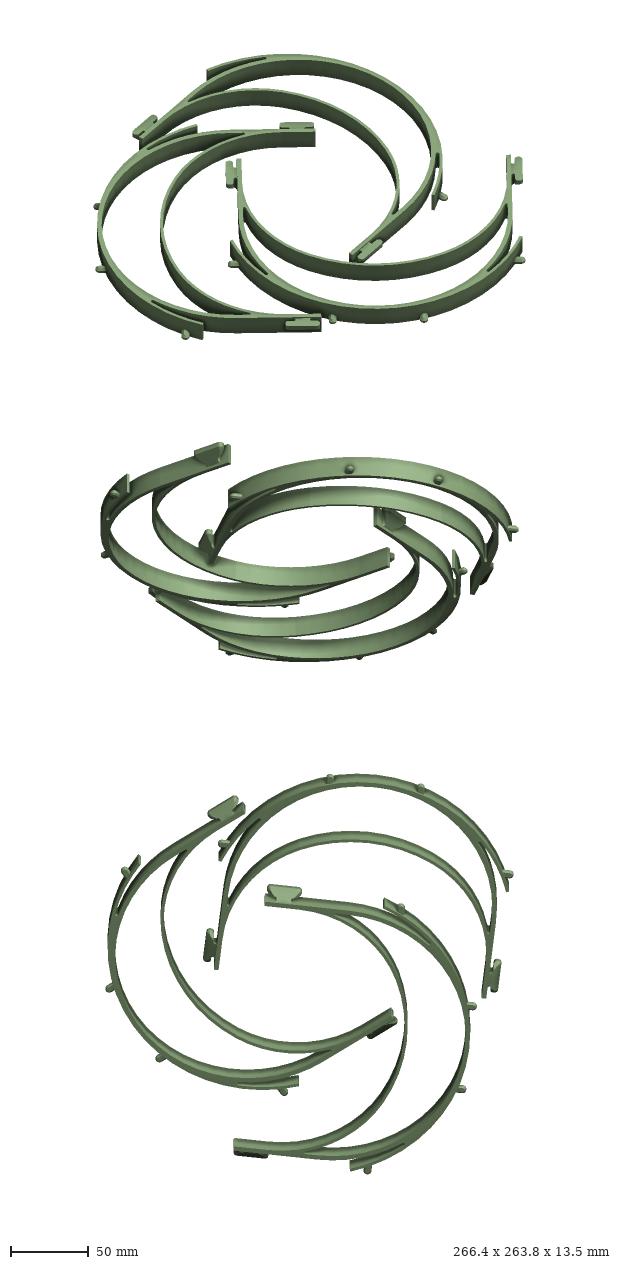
import cadquery as cq
import math

HEIGHT = 13.5

LEG_OUTER_R = 88.0
LEG_THICKNESS = 3.0
LEG_INNER_R = LEG_OUTER_R - LEG_THICKNESS
LEG_CENTRE_Y = 42.4
LEG_END_Y = -11.8

VISOR_OUTER_R = 100.0
VISOR_THICKNESS = 2.0
VISOR_INNER_R = VISOR_OUTER_R - VISOR_THICKNESS
VISOR_CENTRE_Y = LEG_CENTRE_Y + LEG_OUTER_R - VISOR_OUTER_R
VISOR_END_ANGLE = 20.0

STRAP_THICKNESS = 2.0
STRAP_FRONT_Y = 90.0
STRAP_SIDE_X = 9.5
STRAP_SIDE_Y = 10.3
STRAP_SIDE_R = LEG_INNER_R + STRAP_THICKNESS - STRAP_SIDE_X
STRAP_SIDE_DEPTH = STRAP_FRONT_Y - STRAP_SIDE_Y
STRAP_FRONT_R = (STRAP_SIDE_X**2 + STRAP_SIDE_DEPTH**2 - STRAP_SIDE_R**2) / (
    2 * (STRAP_SIDE_DEPTH - STRAP_SIDE_R)
)
STRAP_FRONT_CENTRE_Y = STRAP_FRONT_Y - STRAP_FRONT_R

STRAP_CROTCH_R = 0.9
VISOR_CROTCH_R = 1.15

PEG_WIDTH = 5.0
PEG_BOTTOM = 1.0
PEG_TOP = 5.0
PEG_BAR_LENGTH = 20.0
PEG_TRIM_R = VISOR_OUTER_R - VISOR_THICKNESS / 2
PEG_TOP_CHAMFER = 1.5
PEG_BOTTOM_CHAMFER = 1.0
SIDE_PEG_TIP_X = 95.5
SIDE_PEG_Y = 75.5
FRONT_PEG_X = 29.3
FRONT_PEG_TIP_Y = 131.92

CLIP_OUTER_X = 95.3
CLIP_INNER_X = 90.4
CLIP_REACH = CLIP_OUTER_X - LEG_OUTER_R
CLIP_LENGTH = 22.4
CLIP_CENTRE_Y = 0.2
CLIP_END_R = 2.2
CLIP_TOP = 12.5
CLIP_EDGE_Z = 9.2
CLIP_BOTTOM = CLIP_EDGE_Z - CLIP_REACH
NECK_LENGTH = 9.2
SLOT_END_R = (CLIP_INNER_X - LEG_OUTER_R) / 2

PLACEMENTS = [
    (-37.7, 0.0, 0.0),
    (10.95, 59.2, -140.0),
    (5.3, -9.65, 130.0),
]

SELECT_MARGIN = 0.2


def disc(radius, centre_y):
    return cq.Workplane("XY").center(0, centre_y).circle(radius).extrude(HEIGHT)


def leg_outline(radius):
    return (
        cq.Workplane("XY")
        .moveTo(-radius, LEG_END_Y)
        .lineTo(-radius, LEG_CENTRE_Y)
        .threePointArc((0, LEG_CENTRE_Y + radius), (radius, LEG_CENTRE_Y))
        .lineTo(radius, LEG_END_Y)
        .close()
        .extrude(HEIGHT)
    )


def visor_arc():
    """Ring sector that fans out from the legs and ends in two radial faces."""
    angle = math.radians(VISOR_END_ANGLE)
    reach = 2 * VISOR_OUTER_R
    side_x = reach * math.cos(angle)
    side_y = VISOR_CENTRE_Y + reach * math.sin(angle)
    sector = (
        cq.Workplane("XY")
        .moveTo(0, VISOR_CENTRE_Y)
        .lineTo(side_x, side_y)
        .lineTo(0, VISOR_CENTRE_Y + 2 * reach)
        .lineTo(-side_x, side_y)
        .close()
        .extrude(HEIGHT)
    )
    ring = disc(VISOR_OUTER_R, VISOR_CENTRE_Y).cut(disc(VISOR_INNER_R, VISOR_CENTRE_Y))
    return ring.intersect(sector)


def strap_outline(inset):
    """Solid bounded by the strap's outer face moved inward by `inset`."""
    joint = math.atan2(STRAP_SIDE_X, STRAP_SIDE_Y - STRAP_FRONT_CENTRE_Y)
    front_r = STRAP_FRONT_R - inset
    side_r = STRAP_SIDE_R - inset
    joint_x = front_r * math.sin(joint)
    joint_y = STRAP_FRONT_CENTRE_Y + front_r * math.cos(joint)
    middle = joint / 2 + math.pi / 4
    middle_x = STRAP_SIDE_X + side_r * math.sin(middle)
    middle_y = STRAP_SIDE_Y + side_r * math.cos(middle)
    end_x = STRAP_SIDE_X + side_r
    return (
        cq.Workplane("XY")
        .moveTo(-end_x, STRAP_SIDE_Y)
        .threePointArc((-middle_x, middle_y), (-joint_x, joint_y))
        .threePointArc((0, STRAP_FRONT_Y - inset), (joint_x, joint_y))
        .threePointArc((middle_x, middle_y), (end_x, STRAP_SIDE_Y))
        .close()
        .extrude(HEIGHT)
    )


def strap():
    return strap_outline(0).cut(strap_outline(STRAP_THICKNESS))


def round_crotch(body, x, y, radius):
    """Round the narrow corner at (x, y) and its mirror image."""
    for side in (-1, 1):
        corner = cq.selectors.BoxSelector(
            (side * x - SELECT_MARGIN, y - SELECT_MARGIN, -SELECT_MARGIN),
            (side * x + SELECT_MARGIN, y + SELECT_MARGIN, HEIGHT + SELECT_MARGIN),
        )
        body = body.edges("|Z").edges(corner).fillet(radius)
    return body


def frame():
    legs = leg_outline(LEG_OUTER_R).cut(leg_outline(LEG_INNER_R))
    body = legs.union(visor_arc()).union(strap())
    strap_rise = math.sqrt(STRAP_SIDE_R**2 - (LEG_INNER_R - STRAP_SIDE_X) ** 2)
    body = round_crotch(body, LEG_INNER_R, STRAP_SIDE_Y + strap_rise, STRAP_CROTCH_R)
    offset = LEG_CENTRE_Y - VISOR_CENTRE_Y
    visor_rise = (VISOR_INNER_R**2 + offset**2 - LEG_OUTER_R**2) / (2 * offset)
    visor_x = math.sqrt(VISOR_INNER_R**2 - visor_rise**2)
    return round_crotch(body, visor_x, VISOR_CENTRE_Y + visor_rise, VISOR_CROTCH_R)


def peg(tip_x, tip_y, direction):
    """Bar with a round tip and bevelled edges, pointing along `direction` degrees."""
    half = PEG_WIDTH / 2
    bar = (
        cq.Workplane("XY")
        .workplane(offset=PEG_BOTTOM)
        .moveTo(-PEG_BAR_LENGTH, -half)
        .lineTo(-half, -half)
        .threePointArc((0, 0), (-half, half))
        .lineTo(-PEG_BAR_LENGTH, half)
        .close()
        .extrude(PEG_TOP - PEG_BOTTOM)
    )
    bar = bar.faces(">Z").edges().chamfer(PEG_TOP_CHAMFER)
    bar = bar.faces("<Z").edges().chamfer(PEG_BOTTOM_CHAMFER)
    bar = bar.rotate((0, 0, 0), (0, 0, 1), direction).translate((tip_x, tip_y, 0))
    return bar.cut(disc(PEG_TRIM_R, VISOR_CENTRE_Y))


def clip_slot(side):
    """Slot between one wing and the leg, with a round end and a mouth that rounds the wing tip."""
    tip_y = CLIP_LENGTH / 2
    round_y = NECK_LENGTH / 2 + SLOT_END_R
    tip_bulge = CLIP_END_R * (1 - math.sqrt(0.5))
    return (
        cq.Workplane("XY")
        .moveTo(-LEG_OUTER_R, side * tip_y)
        .lineTo(-CLIP_INNER_X - CLIP_END_R, side * tip_y)
        .threePointArc(
            (-CLIP_INNER_X - tip_bulge, side * (tip_y - tip_bulge)),
            (-CLIP_INNER_X, side * (tip_y - CLIP_END_R)),
        )
        .lineTo(-CLIP_INNER_X, side * round_y)
        .threePointArc(
            (-CLIP_INNER_X + SLOT_END_R, side * NECK_LENGTH / 2),
            (-LEG_OUTER_R, side * round_y),
        )
        .close()
        .extrude(HEIGHT)
    )


def clip_blank(top_z):
    """Plan outline of the clip at `top_z`, run well past the leg."""
    depth = 4 * CLIP_REACH
    return (
        cq.Workplane("XY")
        .workplane(offset=top_z)
        .sketch()
        .push([(-CLIP_OUTER_X + depth / 2, 0)])
        .rect(depth, CLIP_LENGTH)
        .reset()
        .vertices("<X")
        .fillet(CLIP_END_R)
        .finalize()
    )


def clip():
    """Clip on the left leg, rooted in the thickness of the leg."""
    root_x = -LEG_OUTER_R + LEG_THICKNESS / 2
    upper = clip_blank(CLIP_TOP).extrude(CLIP_EDGE_Z - CLIP_TOP)
    wing_undercut = clip_blank(CLIP_EDGE_Z).extrude(CLIP_BOTTOM - CLIP_EDGE_Z, taper=45)
    neck_undercut = (
        cq.Workplane("XZ")
        .moveTo(-CLIP_OUTER_X, CLIP_EDGE_Z)
        .lineTo(-LEG_OUTER_R, CLIP_BOTTOM)
        .lineTo(root_x, CLIP_BOTTOM)
        .lineTo(root_x, CLIP_EDGE_Z)
        .close()
        .extrude(NECK_LENGTH / 2 + SLOT_END_R, both=True)
    )
    envelope = (
        cq.Workplane("XY")
        .box(root_x + CLIP_OUTER_X, CLIP_LENGTH, HEIGHT, centered=(False, True, False))
        .translate((-CLIP_OUTER_X, 0, 0))
    )
    body = upper.union(wing_undercut).union(neck_undercut).intersect(envelope)
    for side in (-1, 1):
        body = body.cut(clip_slot(side))
    return body.translate((0, CLIP_CENTRE_Y, 0))


def headband():
    """One headband: frame, four pegs and two clips in one solid."""
    body = frame()
    for side in (-1, 1):
        body = body.union(peg(side * SIDE_PEG_TIP_X, SIDE_PEG_Y, 90 - side * 90))
        body = body.union(peg(side * FRONT_PEG_X, FRONT_PEG_TIP_Y, 90))
    left_clip = clip()
    return body.union(left_clip).union(left_clip.mirror("YZ"))


pattern = headband()
headbands = [
    pattern.rotate((0, 0, 0), (0, 0, 1), turn).translate((x, y, 0)) for x, y, turn in PLACEMENTS
]
result = cq.Compound.makeCompound([band.val() for band in headbands])